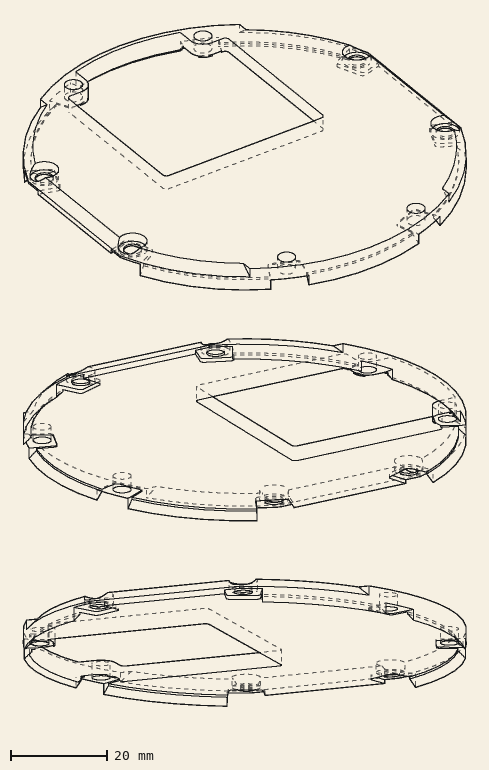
import cadquery as cq
import math

outer_radius = 46.0
flat_width = 85.6
total_height = 5.3
plate_thickness = 3.3
plate_bottom = total_height - plate_thickness

edge_chamfer = 2.0
chamfer_start_y = 25.0

rim_wall = 1.6

screw_count = 8
screw_pitch_angle = 360 / screw_count
screw_circle_radius = 42.5
screw_diameter = 3.8
screw_angles = [(i + 0.5) * screw_pitch_angle for i in range(screw_count)]
counterbore_diameter = 6.0
counterbore_depth = 2.0

side_screw_x = -screw_circle_radius * math.cos(math.radians(screw_pitch_angle / 2))
side_screw_y = screw_circle_radius * math.sin(math.radians(screw_pitch_angle / 2))
flat_screw_x = side_screw_y

seat_half_angle = 5.0
seat_inner_distance = 39.7
seat_overrun = 1.8
seat_outer_distance = outer_radius + seat_overrun
seat_corner_radius = 0.8
flat_seat_depth = 2.5
side_seat_depth = 3.0

lug_radius = 3.1
window_max_x = 0.1
window_width = 40.1
window_corner_radius = 0.9
bay_wall = 1.0
bay_corner_radius = 0.5
window_min_x = side_screw_x + lug_radius
bay_half_width = side_screw_y - lug_radius
bay_inner_x = window_min_x + lug_radius


def is_beside_flat(angle):
    """True for the screws nearer to the flats than to the round sides."""
    direction = math.radians(angle)
    return abs(math.sin(direction)) > abs(math.cos(direction))


def centred_box(min_x, max_x, width):
    """Full-height box spanning min_x to max_x, centred on Y = 0."""
    length = max_x - min_x
    return (
        cq.Workplane("XY")
        .box(length, width, total_height, centered=(False, True, False))
        .translate((min_x, 0, 0))
    )


def trimmed_disc():
    """Full-height disc cut by the two flats."""
    disc = cq.Workplane("XY").circle(outer_radius).extrude(total_height)
    return disc.intersect(centred_box(-outer_radius, outer_radius, flat_width))


def rim_cavity():
    """Hollow under the plate, flared out at 45 degrees and open along both flats."""
    inner_radius = outer_radius - rim_wall
    flared_hollow = (
        cq.Workplane("XZ")
        .moveTo(0, 0)
        .lineTo(outer_radius, 0)
        .lineTo(inner_radius, rim_wall)
        .lineTo(inner_radius, plate_bottom)
        .lineTo(0, plate_bottom)
        .close()
        .revolve(360, (0, 0, 0), (0, 1, 0))
    )
    flat_opening = (
        cq.Workplane("XY")
        .rect(2 * flat_screw_x, flat_width)
        .extrude(plate_bottom)
    )
    return flared_hollow.union(flat_opening)


def edge_chamfer_waste():
    """Material removed by the top chamfer along the flats and nearby arcs."""
    kept = trimmed_disc().faces(">Z").edges().chamfer(edge_chamfer)
    unchamfered_band = centred_box(-outer_radius, outer_radius, 2 * chamfer_start_y)
    return trimmed_disc().cut(kept).cut(unchamfered_band)


def screw_seat(angle):
    """Wedge under a screw, with a flat rounded-corner back wall."""
    spread = math.tan(math.radians(seat_half_angle))
    inner_half_width = seat_inner_distance * spread
    outer_half_width = seat_outer_distance * spread
    depth = flat_seat_depth if is_beside_flat(angle) else side_seat_depth
    return (
        cq.Workplane("XY")
        .polyline([
            (seat_inner_distance, -inner_half_width),
            (seat_outer_distance, -outer_half_width),
            (seat_outer_distance, outer_half_width),
            (seat_inner_distance, inner_half_width),
        ])
        .close()
        .extrude(total_height - depth)
        .edges("|Z and <X")
        .fillet(seat_corner_radius)
        .rotate((0, 0, 0), (0, 0, 1), angle)
    )


def screw_bore(angle):
    """Screw hole, counterbored from the top beside the flats."""
    bore = (
        cq.Workplane("XY")
        .center(screw_circle_radius, 0)
        .circle(screw_diameter / 2)
        .extrude(total_height)
    )
    if is_beside_flat(angle):
        counterbore_face = bore.faces(">Z").workplane()
        bore = counterbore_face.circle(counterbore_diameter / 2).extrude(-counterbore_depth)
    return bore.rotate((0, 0, 0), (0, 0, 1), angle)


def window():
    """Rectangular opening joined to the bay, rounded around the two screw lugs."""
    main = centred_box(window_min_x, window_max_x, window_width)
    main = main.edges("|Z").fillet(window_corner_radius)

    bay_limit = cq.Workplane("XY").circle(outer_radius - bay_wall).extrude(total_height)
    bay = centred_box(-outer_radius, bay_inner_x, 2 * bay_half_width).intersect(bay_limit)
    bay = bay.edges("|Z and (not >X)").fillet(bay_corner_radius)

    opening = main.union(bay)
    for side in (-1, 1):
        lug_corner = (window_min_x, side * bay_half_width, total_height / 2)
        opening = opening.edges(cq.selectors.NearestToPointSelector(lug_corner)).fillet(lug_radius)
    return opening


result = trimmed_disc().cut(rim_cavity()).cut(edge_chamfer_waste())
for screw_angle in screw_angles:
    result = result.cut(screw_seat(screw_angle)).cut(screw_bore(screw_angle))
result = result.cut(window())